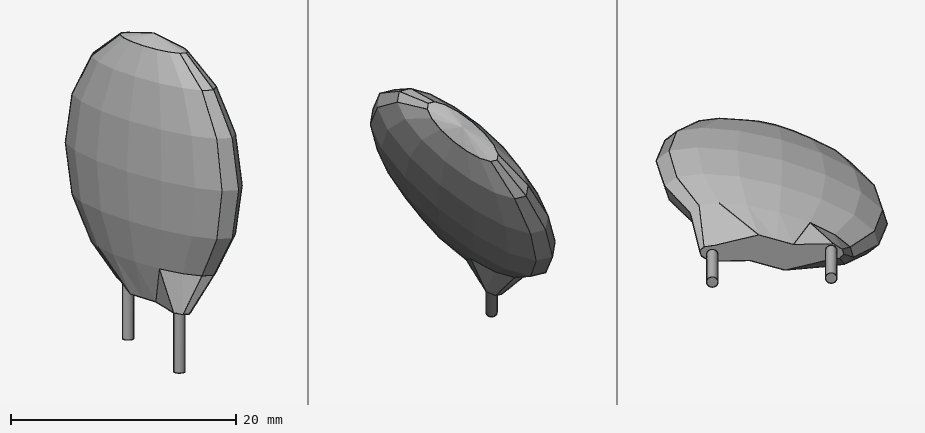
import cadquery as cq
import math


half_width = 10.745
half_thickness = 3.3
half_height = 12.24
facets_around = 16
facet_angle = 2 * math.pi / facets_around
rings_above_equator = 3
rings_below_equator = 2

overall_height = 30.1
body_height = 24.48
lead_diameter = 1.02
lead_length = overall_height - body_height
lead_x = 5.0
lead_y = 1.725
lead_positions = [(-lead_x, lead_y), (lead_x, -lead_y)]

equator_z = body_height - half_height

waist_half_thickness = 1.33
waist_half_length = 1.62
half_base_outline = [
    (0, -waist_half_thickness),
    (waist_half_length, -waist_half_thickness),
    (lead_x, -2.43),
    (5.89, -2.15),
    (6.19, -1.71),
    (5.92, -1.21),
    (5.04, -0.78),
    (waist_half_length, waist_half_thickness),
]


def ellipsoid_ring(latitude):
    """Corner points of one horizontal ring, counter-clockwise from the -Y side."""
    z = equator_z + half_height * math.sin(latitude)
    ring = []
    for step in range(facets_around):
        longitude = step * facet_angle - math.pi / 2
        x = half_width * math.cos(latitude) * math.cos(longitude)
        y = half_thickness * math.cos(latitude) * math.sin(longitude)
        ring.append(cq.Vector(x, y, z))
    return ring


def base_ring():
    """Corner points of the base: the half outline, then the same half turned 180 degrees about Z."""
    first_half = [cq.Vector(x, y, 0) for x, y in half_base_outline]
    second_half = [cq.Vector(-x, -y, 0) for x, y in half_base_outline]
    return first_half + second_half


def flat_face(points):
    return cq.Face.makeFromWires(cq.Wire.makePolygon(points, close=True))


def facet_band(upper, lower):
    """Triangles joining two rings, two triangles for each step around."""
    faces = []
    for step in range(facets_around):
        following = (step + 1) % facets_around
        faces.append(flat_face([upper[step], lower[following], upper[following]]))
        faces.append(flat_face([upper[step], lower[step], lower[following]]))
    return faces


def apex_fan(ring):
    """Triangles closing the top ring to a point."""
    apex = cq.Vector(0, 0, body_height)
    return [flat_face([apex, ring[step - 1], ring[step]]) for step in range(facets_around)]


def make_body():
    ring_steps = range(rings_above_equator, -rings_below_equator - 1, -1)
    rings = [ellipsoid_ring(step * facet_angle) for step in ring_steps]
    rings.append(base_ring())
    faces = apex_fan(rings[0])
    for upper, lower in zip(rings, rings[1:]):
        faces += facet_band(upper, lower)
    faces.append(flat_face(rings[-1]))
    return cq.Workplane(cq.Solid.makeSolid(cq.Shell.makeShell(faces)))


def make_lead(x, y):
    """Round wire hanging down from the underside of the base."""
    return cq.Workplane("XY").center(x, y).circle(lead_diameter / 2).extrude(-lead_length)


body = make_body()
leads = [make_lead(x, y) for x, y in lead_positions]

result = cq.Compound.makeCompound([body.val(), *[lead.val() for lead in leads]])